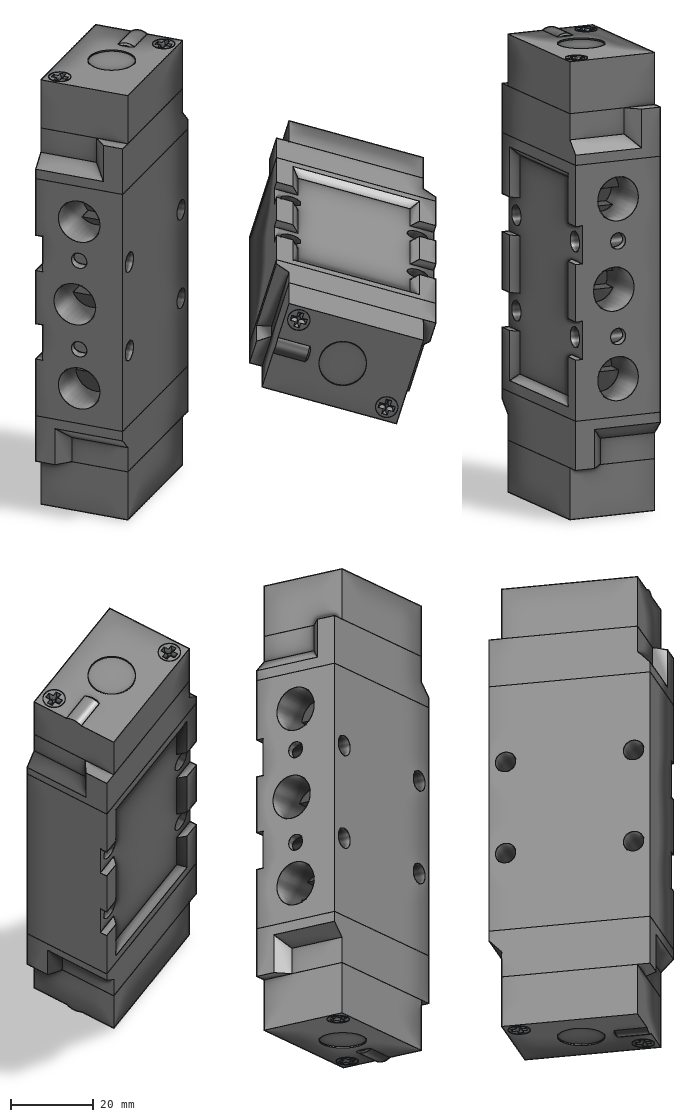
import cadquery as cq
import math

TOTAL_LENGTH = 115.8
WIDTH_X = 23.0
DEPTH_Y = 40.5

HOUSING_LENGTH = 63.9
ADAPTER_LENGTH = 12.3
RIDGE_HEIGHT = 0.7
CAP_LENGTH = (TOTAL_LENGTH - HOUSING_LENGTH) / 2 - ADAPTER_LENGTH - RIDGE_HEIGHT
CAP_DEPTH_Y = 34.2
HOUSING_END_Z = HOUSING_LENGTH / 2
ADAPTER_END_Z = HOUSING_END_Z + ADAPTER_LENGTH
CAP_END_Z = ADAPTER_END_Z + CAP_LENGTH
FRONT_Y = -DEPTH_Y / 2
SIDE_X = -WIDTH_X / 2

RELIEF_DEPTH = 1.9
POCKET_WIDTH = 32.2
POCKET_LENGTH = 58.4
POCKET_BEVEL_ANGLE = 45.0
CHANNEL_HEIGHT = 9.5

MOUNT_DIAMETER = 5.1
MOUNT_Y = 16.1
MOUNT_Z = 11.9
PILOT_DIAMETER = 4.0
PILOT_DEPTH = DEPTH_Y / 2 - MOUNT_Y

PORT_DIAMETER = 11.0
PORT_DEPTH = 10.4
PORT_TAPER = 1.0
PORT_PITCH = 22.5
MIDDLE_PORT_X = -1.2
SLOT_HEIGHT = 4.3
SLOT_DEPTH = 3.5
SLOT_TAPER = 4.0
SLOT_SHIFT = 1.7

NOTCH_DEPTH = (DEPTH_Y - CAP_DEPTH_Y) / 2
NOTCH_FLOOR_X = 3.2
FRONT_WALL_RUN = NOTCH_DEPTH
BACK_WALL_RUN = 2.3
NOTCH_RIM = 2.5

DIMPLE_DIAMETER = 11.6
DIMPLE_DEPTH = 0.3
SCREW_DIAMETER = 5.5
SCREW_RECESS = 0.1
SCREW_X = 8.0
SCREW_Y = 13.5
CROSS_SPAN = 4.0
CROSS_ARM_WIDTH = 1.5
CROSS_DEPTH = 1.2
CROSS_TAPER = 30.0
RIDGE_WIDTH = 4.3
RIDGE_LENGTH = 8.6
RIDGE_CHAMFER = 0.5


def centred_block(size_x, size_y, size_z, bottom_z):
    """Block centred on the Z axis, standing on the height bottom_z."""
    return cq.Workplane("XY", origin=(0, 0, bottom_z)).box(
        size_x, size_y, size_z, centered=(True, True, False)
    )


def front_plane(x, y, z):
    """Workplane facing -Y, with its local x pointing down and its local y along +X."""
    return cq.Workplane(cq.Plane(origin=(x, y, z), xDir=(0, 0, -1), normal=(0, -1, 0)))


def side_relief():
    """Bevelled pocket and full-depth cross channels in the -X side."""
    side = cq.Workplane("YZ", origin=(SIDE_X, 0, 0))
    relief = side.rect(POCKET_WIDTH, POCKET_LENGTH).extrude(RELIEF_DEPTH, taper=POCKET_BEVEL_ANGLE)
    channels = (
        side.pushPoints([(0, MOUNT_Z), (0, -MOUNT_Z)])
        .rect(DEPTH_Y, CHANNEL_HEIGHT)
        .extrude(RELIEF_DEPTH)
    )
    return relief.union(channels)


def mounting_holes():
    """Four holes right through the housing along X."""
    return (
        cq.Workplane("YZ", origin=(SIDE_X, 0, 0))
        .rect(2 * MOUNT_Y, 2 * MOUNT_Z, forConstruction=True)
        .vertices()
        .circle(MOUNT_DIAMETER / 2)
        .extrude(WIDTH_X)
    )


def pilot_holes():
    """Two small front holes that end on the axes of the front mounting holes."""
    return (
        front_plane(0, FRONT_Y, 0)
        .pushPoints([(MOUNT_Z, 0), (-MOUNT_Z, 0)])
        .circle(PILOT_DIAMETER / 2)
        .extrude(-PILOT_DEPTH)
    )


def port(x, z, slot_z):
    """Slightly tapered blind port with a slot across its floor."""
    radius = PORT_DIAMETER / 2
    floor_radius = radius - PORT_DEPTH * math.tan(math.radians(PORT_TAPER))
    bore = front_plane(x, FRONT_Y, z).circle(radius).extrude(-PORT_DEPTH, taper=PORT_TAPER)
    floor_y = FRONT_Y + PORT_DEPTH
    slot = (
        front_plane(x, floor_y, slot_z)
        .rect(SLOT_HEIGHT, PORT_DIAMETER)
        .extrude(-SLOT_DEPTH, taper=SLOT_TAPER)
    )
    slot_ends = (
        front_plane(x, floor_y, z).circle(floor_radius).extrude(-SLOT_DEPTH, taper=SLOT_TAPER)
    )
    return bore.union(slot.intersect(slot_ends))


def make_housing():
    housing = centred_block(WIDTH_X, DEPTH_Y, HOUSING_LENGTH, -HOUSING_END_Z)
    housing = housing.cut(side_relief()).cut(mounting_holes()).cut(pilot_holes())
    for side in (-1, 0, 1):
        port_x = 0 if side else MIDDLE_PORT_X
        port_z = side * PORT_PITCH
        housing = housing.cut(port(port_x, port_z, port_z - side * SLOT_SHIFT))
    return housing


def notch_section(y, wall_x, ledge_z):
    """Rectangular outline at depth y, reaching past the -X side and the far end of the adapter."""
    return (
        front_plane(0, y, 0)
        .moveTo(-ledge_z, wall_x)
        .lineTo(-ledge_z, -WIDTH_X)
        .lineTo(-TOTAL_LENGTH, -WIDTH_X)
        .lineTo(-TOTAL_LENGTH, wall_x)
        .close()
        .val()
    )


def adapter_notch(wall_run):
    """Front notch with a sloped ledge and a wall whose slope spreads by wall_run along X."""
    ledge_z = HOUSING_END_Z + NOTCH_RIM
    mouth = notch_section(FRONT_Y, NOTCH_FLOOR_X + wall_run, ledge_z)
    floor = notch_section(FRONT_Y + NOTCH_DEPTH, NOTCH_FLOOR_X, ledge_z + NOTCH_DEPTH)
    return cq.Workplane(cq.Solid.makeLoft([mouth, floor], True))


def make_adapter():
    """Upper adapter, with a notch in front and a similar one turned half round at the back."""
    adapter = centred_block(WIDTH_X, DEPTH_Y, ADAPTER_LENGTH, HOUSING_END_Z)
    back_notch = adapter_notch(BACK_WALL_RUN).rotate((0, 0, 0), (0, 0, 1), 180)
    return adapter.cut(adapter_notch(FRONT_WALL_RUN)).cut(back_notch)


def screw_recess(x, y):
    """Shallow round screw head with a tapered cross socket."""
    top = cq.Workplane("XY", origin=(x, y, CAP_END_Z))
    cross = (
        top.sketch()
        .rect(CROSS_SPAN, CROSS_ARM_WIDTH)
        .rect(CROSS_ARM_WIDTH, CROSS_SPAN)
        .clean()
        .finalize()
        .extrude(-CROSS_DEPTH, taper=CROSS_TAPER)
    )
    return top.circle(SCREW_DIAMETER / 2).extrude(-SCREW_RECESS).union(cross)


def cap_ridge():
    """Chamfered cylinder lying along Y, sunk until only a low ridge stands above the cap."""
    radius = (RIDGE_WIDTH**2 / 4 + RIDGE_HEIGHT**2) / (2 * RIDGE_HEIGHT)
    axis_z = CAP_END_Z + RIDGE_HEIGHT - radius
    back = cq.Plane(origin=(0, CAP_DEPTH_Y / 2, axis_z), xDir=(0, 0, 1), normal=(0, -1, 0))
    return (
        cq.Workplane(back).circle(radius).extrude(RIDGE_LENGTH).faces("<Y").chamfer(RIDGE_CHAMFER)
    )


def make_cap():
    """Upper end cap."""
    cap = centred_block(WIDTH_X, CAP_DEPTH_Y, CAP_LENGTH, ADAPTER_END_Z).union(cap_ridge())
    dimple = (
        cq.Workplane("XY", origin=(0, 0, CAP_END_Z))
        .circle(DIMPLE_DIAMETER / 2)
        .extrude(-DIMPLE_DEPTH)
    )
    cap = cap.cut(dimple)
    for sign in (-1, 1):
        cap = cap.cut(screw_recess(sign * SCREW_X, sign * SCREW_Y))
    return cap


housing = make_housing()
adapters = []
caps = []
for turn in (0, 180):
    adapters.append(make_adapter().rotate((0, 0, 0), (0, 1, 0), turn))
    caps.append(make_cap().rotate((0, 0, 0), (0, 1, 0), turn))

end_bodies = [body.val() for body in adapters + caps]
result = cq.Compound.makeCompound([housing.val(), *end_bodies])